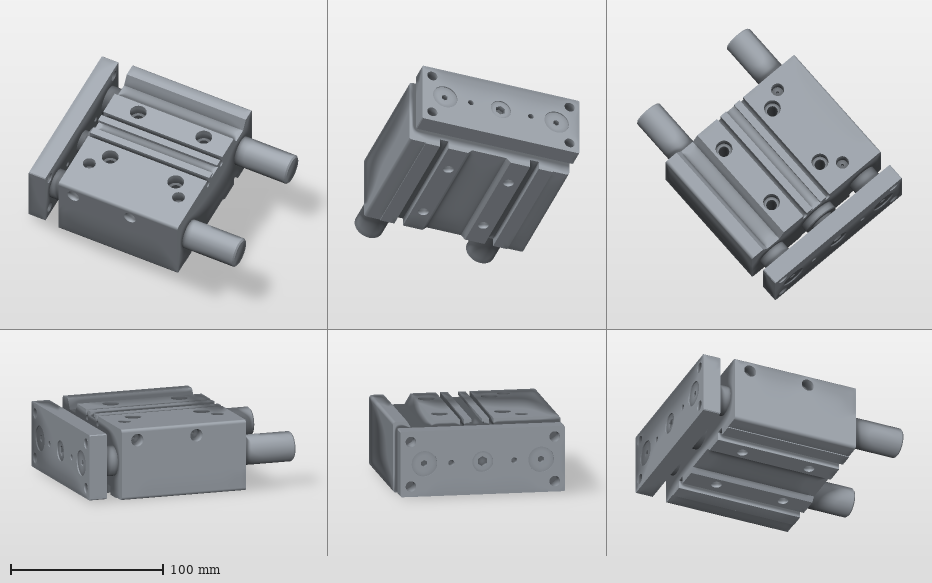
import cadquery as cq
import math


total_length = 147.0
plate_thickness = 12.0
housing_start = 22.2
housing_length = 87.2

housing_width = 112.0
housing_height = 48.0
housing_corner_radius = 2.0
half_width = housing_width / 2
half_height = housing_height / 2

side_groove_center_y = 37.3
side_groove_angle = 60.0
side_groove_mouth = 18.1
side_groove_depth = 6.9
base_groove_mouth = 29.8
base_groove_angle = 45.0
base_groove_depth = 3.0

center_channel_width = 6.9
center_channel_depth = 3.5
center_channel_lip = 2.0
center_channel_undercut = 1.5
base_slot_y = 31.6
base_slot_width = 6.0
base_slot_depth = 5.9
base_step_y = 44.5
base_step_height = 0.6

sensor_slot_y = 9.8
sensor_neck_width = 3.0
sensor_channel_diameter = 4.0
sensor_channel_depth = 5.3

collar_diameter = 25.0
collar_length = 5.3
collar_chamfer = 0.6

mount_hole_diameter = 7.0
mount_bore_diameter = 11.0
mount_bore_depth = 7.8
mount_hole_xs = (43.0, 91.0)
mount_hole_y = 21.0

port_mouth_diameter = 8.5
port_end_diameter = 7.6
port_depth = 8.0
port_passage_diameter = 2.0
port_passage_length = 3.0
top_port_xs = (33.1, 98.3)
top_port_y = -31.9
front_port_xs = (33.1, 74.5)
front_port_z = 16.5

plate_width = 110.0
plate_height = 44.0
plate_chamfer = 0.6
plate_hole_diameter = 7.0
plate_hole_y = 48.0
plate_hole_z = 15.0
pin_hole_diameter = 4.0
pin_hole_y = 21.0

guide_rod_diameter = 20.0
guide_rod_spacing = 78.0
guide_rod_y = guide_rod_spacing / 2
guide_rod_chamfer = 1.0
piston_rod_diameter = 16.0
piston_rod_end = housing_start + housing_length / 2
head_recess = 0.9
guide_head_diameter = 17.0
guide_socket_size = 4.0
piston_head_diameter = 14.0
piston_socket_size = 6.0
socket_depth = 4.0


def rod_along_x(diameter, start, end, y=0.0):
    """Round rod on the line at height zero, from X = start to X = end."""
    return cq.Workplane("YZ", origin=(start, y, 0)).circle(diameter / 2).extrude(end - start)


def housing_prism(sketch):
    """Extrude a closed YZ outline over the length of the housing."""
    return sketch.extrude(housing_length)


def housing_section():
    return cq.Workplane("YZ", origin=(housing_start, 0, 0))


def channel(center_y, width, depth, face_z):
    """Rectangular bar along the housing, reaching from height face_z inwards by its depth."""
    middle_z = face_z - math.copysign(depth / 2, face_z)
    return housing_prism(housing_section().center(center_y, middle_z).rect(width, depth))


def trapezoid_groove(center_y, mouth, depth, wall_angle, face_z):
    """Groove whose walls lean together from its mouth towards its floor."""
    floor = mouth - 2 * depth / math.tan(math.radians(wall_angle))
    floor_z = face_z - math.copysign(depth, face_z)
    outline = [
        (center_y - mouth / 2, face_z),
        (center_y + mouth / 2, face_z),
        (center_y + floor / 2, floor_z),
        (center_y - floor / 2, floor_z),
    ]
    return housing_prism(housing_section().polyline(outline).close())


def center_channel():
    """Channel that widens under a lip on each side."""
    mouth = channel(0, center_channel_width, center_channel_depth, half_height)
    undercut = channel(
        0,
        center_channel_width + 2 * center_channel_undercut,
        center_channel_depth - center_channel_lip,
        half_height - center_channel_lip,
    )
    return mouth.union(undercut)


def sensor_slot(center_y):
    neck = channel(center_y, sensor_neck_width, sensor_channel_depth, half_height)
    channel_center_z = half_height - sensor_channel_depth
    round_channel = housing_prism(
        housing_section().center(center_y, channel_center_z).circle(sensor_channel_diameter / 2)
    )
    return neck.union(round_channel)


def air_port(mouth_center, inward):
    """Tapered port with a passage at its end, running in the given direction."""
    mouth = cq.Vector(*mouth_center)
    direction = cq.Vector(*inward)
    thread = cq.Solid.makeCone(port_mouth_diameter / 2, port_end_diameter / 2, port_depth, mouth, direction)
    passage = cq.Solid.makeCylinder(
        port_passage_diameter / 2, port_depth + port_passage_length, mouth, direction
    )
    return cq.Workplane(thread).union(cq.Workplane(passage))


def housing_block():
    """Rounded block whose base steps up a little near its two long sides."""
    raised_height = housing_height - base_step_height
    block = (
        housing_prism(housing_section().center(0, base_step_height / 2).rect(housing_width, raised_height))
        .edges("|X")
        .fillet(housing_corner_radius)
    )
    base_pad = channel(0, 2 * base_step_y, half_height, -half_height)
    return block.union(base_pad)


def build_housing():
    body = housing_block()

    side_groove = trapezoid_groove(
        side_groove_center_y, side_groove_mouth, side_groove_depth, side_groove_angle, half_height
    )
    base_groove = trapezoid_groove(0, base_groove_mouth, base_groove_depth, base_groove_angle, -half_height)
    body = body.cut(side_groove).cut(base_groove).cut(center_channel())
    for side in (-1, 1):
        body = body.cut(sensor_slot(side * sensor_slot_y))
        body = body.cut(channel(side * base_slot_y, base_slot_width, base_slot_depth, -half_height))

    collar = rod_along_x(collar_diameter, housing_start - collar_length, housing_start)
    body = body.union(collar.faces("<X").chamfer(collar_chamfer))

    mount_points = [(x, side * mount_hole_y) for x in mount_hole_xs for side in (-1, 1)]
    body = (
        body.copyWorkplane(cq.Workplane("XY", origin=(0, 0, half_height)))
        .pushPoints(mount_points)
        .cboreHole(mount_hole_diameter, mount_bore_diameter, mount_bore_depth)
    )

    for x in top_port_xs:
        body = body.cut(air_port((x, top_port_y, half_height), (0, 0, -1)))
    for x in front_port_xs:
        body = body.cut(air_port((x, -half_width, front_port_z), (0, 1, 0)))

    for side in (-1, 1):
        body = body.cut(rod_along_x(guide_rod_diameter, plate_thickness, total_length, side * guide_rod_y))
    return body.cut(rod_along_x(piston_rod_diameter, plate_thickness, piston_rod_end))


def screw_head(y, head_diameter, socket_size):
    """Shallow round recess in the plate face with a hexagon socket below it; socket_size is across flats."""
    across_corners = socket_size / math.cos(math.radians(30))
    recess = rod_along_x(head_diameter, 0, head_recess, y)
    socket = (
        cq.Workplane("YZ", origin=(0, y, 0))
        .transformed(rotate=(0, 0, 30))
        .polygon(6, across_corners)
        .extrude(head_recess + socket_depth)
    )
    return recess.union(socket)


def build_moving_body():
    plate = (
        cq.Workplane("YZ")
        .rect(plate_width, plate_height)
        .extrude(plate_thickness)
        .edges("|X")
        .chamfer(plate_chamfer)
    )
    plate_hole_points = [(y * plate_hole_y, z * plate_hole_z) for y in (-1, 1) for z in (-1, 1)]
    holes = cq.Workplane("YZ").pushPoints(plate_hole_points).circle(plate_hole_diameter / 2)
    body = plate.cut(holes.extrude(plate_thickness))

    for side in (-1, 1):
        guide_rod = rod_along_x(guide_rod_diameter, plate_thickness, total_length, side * guide_rod_y)
        body = body.union(guide_rod.faces(">X").chamfer(guide_rod_chamfer))
        body = body.cut(screw_head(side * guide_rod_y, guide_head_diameter, guide_socket_size))
        body = body.cut(rod_along_x(pin_hole_diameter, 0, plate_thickness, side * pin_hole_y))

    body = body.union(rod_along_x(piston_rod_diameter, plate_thickness, piston_rod_end))
    return body.cut(screw_head(0, piston_head_diameter, piston_socket_size))


housing = build_housing()
moving_body = build_moving_body()

result = cq.Compound.makeCompound([housing.val(), moving_body.val()])